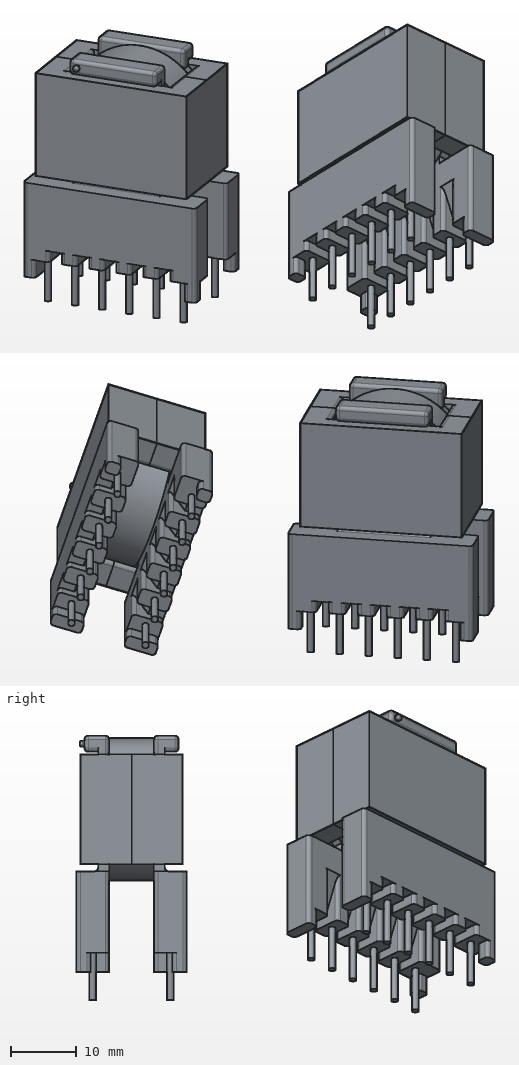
import cadquery as cq

EDGE_RADIUS = 0.6

CORE_BOTTOM = 20.65
CORE_HEIGHT = 16.7
CORE_TOP = CORE_BOTTOM + CORE_HEIGHT
AXIS_Z = CORE_BOTTOM + CORE_HEIGHT / 2
WRAPPED_LENGTH = 25.15
WRAPPED_DEPTH = 15.6
TAPE_THICKNESS = 0.12
CORE_LENGTH = WRAPPED_LENGTH - 2 * TAPE_THICKNESS
CORE_HALF_DEPTH = WRAPPED_DEPTH / 2 - TAPE_THICKNESS
WINDOW_RADIUS = 11.25
POST_RADIUS = 4.42

COIL_RADIUS = 10.85
TUBE_RADIUS = POST_RADIUS + 0.8
FLANGE_INNER_Y = 3.4
FLANGE_OUTER_Y = 5.05

BAR_LENGTH = 14.4
BAR_OUTER_Y = 7.15
BAR_TOP = 40.2
BAR_BOTTOM = 37.7

DOT_RADIUS = 0.5
DOT_HEIGHT = 0.72
DOT_ROUNDING = 0.35
DOT_X = -5.9
DOT_Z = (BAR_BOTTOM + BAR_TOP) / 2

BASE_LENGTH = 28.63
BASE_OUTER_Y = 8.4
BASE_MIDDLE_Y = (FLANGE_INNER_Y + BASE_OUTER_Y) / 2
BASE_TOP = 19.6
GROOVE_TOP = 15.15
NOTCH_TOP = 9.0
TOOTH_BOTTOM = 7.2
FOOT_BOTTOM = 4.25
FOOT_LENGTH = 1.97
SHORT_FOOT_DEPTH = 2.2
NOTCH_WIDTH = 1.9

PIN_COUNT = 6
PIN_PITCH = 4.5
PIN_DIAMETER = 1.05
PIN_SPAN = (PIN_COUNT - 1) * PIN_PITCH
PIN_XS = [i * PIN_PITCH - PIN_SPAN / 2 for i in range(PIN_COUNT)]


def block(x_range, y_range, z_range):
    """Box between the given limits."""
    lows, highs = zip(x_range, y_range, z_range)
    sizes = [high - low for low, high in zip(lows, highs)]
    return cq.Workplane().box(*sizes, centered=False).translate(lows)


def centred_block(length, y_range, z_range):
    """Box that is symmetric about X = 0."""
    return block((-length / 2, length / 2), y_range, z_range)


def coil_disc(radius, y_start, y_end):
    """Cylinder on the coil axis between two Y positions."""
    plane = cq.Plane(origin=(0, y_start, AXIS_Z), xDir=(1, 0, 0), normal=(0, 1, 0))
    return cq.Workplane(plane).circle(radius).extrude(y_end - y_start)


def make_core_half():
    """Core half on the +Y side: two outer legs, a back plate and a round centre post."""
    core_z = (CORE_BOTTOM, CORE_TOP)
    legs = centred_block(CORE_LENGTH, (0, FLANGE_OUTER_Y), core_z)
    legs = legs.cut(coil_disc(WINDOW_RADIUS, 0, FLANGE_OUTER_Y))
    mouth = cq.selectors.BoxSelector(
        (-WINDOW_RADIUS, -0.4, CORE_BOTTOM - 0.4),
        (WINDOW_RADIUS, FLANGE_OUTER_Y + 0.4, CORE_TOP + 0.4),
    )
    legs = legs.edges("|Y").edges(mouth).fillet(EDGE_RADIUS)
    plate = centred_block(CORE_LENGTH, (FLANGE_OUTER_Y, CORE_HALF_DEPTH), core_z)
    post = coil_disc(POST_RADIUS, 0, FLANGE_OUTER_Y)
    return plate.union(legs).union(post)


def make_tape():
    """Thin band around the four sides of the core."""
    return (
        cq.Workplane()
        .workplane(offset=CORE_BOTTOM)
        .rect(WRAPPED_LENGTH, WRAPPED_DEPTH)
        .rect(CORE_LENGTH, 2 * CORE_HALF_DEPTH)
        .extrude(CORE_HEIGHT)
    )


def make_winding():
    """Ring of wire between the bobbin flanges."""
    ring = coil_disc(COIL_RADIUS, -FLANGE_INNER_Y, FLANGE_INNER_Y)
    return ring.cut(coil_disc(TUBE_RADIUS, -FLANGE_INNER_Y, FLANGE_INNER_Y))


def make_flange():
    """Round flange with its neck, the rounded bar above the core and the fillet onto the base."""
    neck_y = (FLANGE_INNER_Y, FLANGE_OUTER_Y)
    disc = coil_disc(COIL_RADIUS, *neck_y)
    bar = centred_block(BAR_LENGTH, (FLANGE_INNER_Y, BAR_OUTER_Y), (BAR_BOTTOM, BAR_TOP))
    bar = bar.edges().fillet(EDGE_RADIUS)
    upper_neck = centred_block(BAR_LENGTH, neck_y, (AXIS_Z, (BAR_BOTTOM + BAR_TOP) / 2))
    upper_neck = upper_neck.edges("|Z and <Y").fillet(EDGE_RADIUS)
    lower_neck = centred_block(BAR_LENGTH, neck_y, (BASE_TOP, AXIS_Z))
    foot_fillet = (
        cq.Workplane("YZ", origin=(-BAR_LENGTH / 2, 0, 0))
        .moveTo(FLANGE_OUTER_Y, BASE_TOP)
        .lineTo(FLANGE_OUTER_Y + EDGE_RADIUS, BASE_TOP)
        .radiusArc((FLANGE_OUTER_Y, BASE_TOP + EDGE_RADIUS), EDGE_RADIUS)
        .close()
        .extrude(BAR_LENGTH)
    )
    return disc.union(bar).union(upper_neck).union(lower_neck).union(foot_fillet)


def base_prism(x_range, z_range, depth=BASE_OUTER_Y - FLANGE_INNER_Y):
    """Block with rounded vertical edges that reaches inward from the outer face of the base."""
    return block(x_range, (BASE_OUTER_Y - depth, BASE_OUTER_Y), z_range).edges("|Z").fillet(EDGE_RADIUS)


def make_base():
    """Pin base: a top slab, a row of teeth with lead grooves, a long and a short foot, and the pins."""
    base_end = BASE_LENGTH / 2
    base = base_prism((-base_end, base_end), (GROOVE_TOP, BASE_TOP))

    tooth_half = (PIN_PITCH - NOTCH_WIDTH) / 2
    for x in PIN_XS:
        left = -base_end if x == PIN_XS[0] else x - tooth_half
        right = base_end if x == PIN_XS[-1] else x + tooth_half
        base = base.union(base_prism((left, right), (TOOTH_BOTTOM, GROOVE_TOP)))

    web = (
        cq.Workplane("YZ", origin=(PIN_XS[0], 0, 0))
        .moveTo(FLANGE_INNER_Y, GROOVE_TOP)
        .lineTo(BASE_OUTER_Y, GROOVE_TOP)
        .lineTo(BASE_OUTER_Y, NOTCH_TOP)
        .lineTo(BASE_MIDDLE_Y, NOTCH_TOP)
        .close()
        .extrude(PIN_SPAN)
    )
    base = base.union(web)

    foot_inner = base_end - FOOT_LENGTH
    foot_z = (FOOT_BOTTOM, TOOTH_BOTTOM)
    base = base.union(base_prism((-base_end, -foot_inner), foot_z))
    base = base.union(base_prism((foot_inner, base_end), foot_z, SHORT_FOOT_DEPTH))

    for x in PIN_XS:
        pin = cq.Workplane(origin=(x, BASE_MIDDLE_Y, 0)).circle(PIN_DIAMETER / 2).extrude(TOOTH_BOTTOM)
        base = base.union(pin)
    return base


def make_dot():
    """Polarity dot: a short stud with a rounded end on the front face of the front bar."""
    stud = cq.Workplane("XZ", origin=(DOT_X, -BAR_OUTER_Y, DOT_Z)).circle(DOT_RADIUS).extrude(DOT_HEIGHT)
    return stud.faces("<Y").edges().fillet(DOT_ROUNDING)


def make_bobbin():
    """Tube with a flange and a pin base on each side, bored through for the core post."""
    side = make_flange().union(make_base())
    tube = coil_disc(TUBE_RADIUS, -FLANGE_OUTER_Y, FLANGE_OUTER_Y)
    bobbin = tube.union(side).union(side.mirror("XZ"))
    bobbin = bobbin.cut(coil_disc(POST_RADIUS, -FLANGE_OUTER_Y, FLANGE_OUTER_Y))
    return bobbin.union(make_dot())


back_core_half = make_core_half()
front_core_half = back_core_half.mirror("XZ")
tape = make_tape()
winding = make_winding()
bobbin = make_bobbin()

result = cq.Compound.makeCompound(
    [back_core_half.val(), front_core_half.val(), tape.val(), winding.val(), bobbin.val()]
)